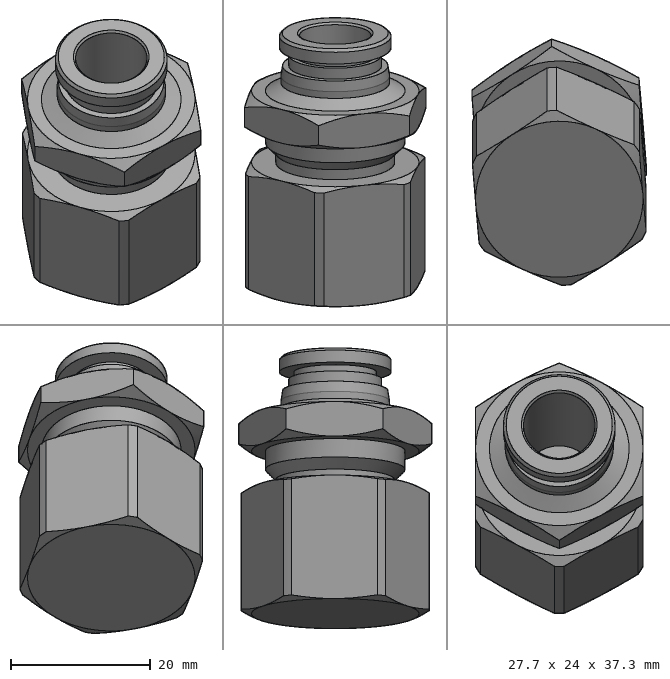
import cadquery as cq
import math

total_height = 37.3
body_top = 17.98
neck_top = 19.47
thread_start = 20.95
nut_bottom = 23.65
nut_top = 28.7
shoulder_top = 29.9
sleeve_taper_start = 30.92
sleeve_top = 32.45
collar_top = 34.1
flange_bottom = 35.15

neck_diameter = 17.05
thread_diameter = 20.0
sleeve_diameter = 15.55
sleeve_top_diameter = 15.1
collar_diameter = 13.3
release_neck_diameter = 11.82
flange_diameter = 16.0
flange_chamfer = 0.4

across_flats = 24.0
across_corners = across_flats / math.cos(math.radians(30))
body_corner_diameter = 26.93
body_chamfer_angle = 20.0
nut_chamfer_angle = 30.0

bore_diameter = 10.22
bore_depth = total_height - body_top
bore_chamfer = 0.3


def revolve_profile(points):
    """Revolve a closed (radius, height) outline around the Z axis."""
    return cq.Workplane("XZ").polyline(points).close().revolve(360, (0, 0, 0), (0, 1, 0))


def chamfered_hexagon(bottom, top, corner_diameter, chamfer_angle):
    """Hexagon trimmed by a turned blank whose end cones start at the flats."""
    height = top - bottom
    flat_radius = across_flats / 2
    corner_radius = corner_diameter / 2
    drop = (corner_radius - flat_radius) * math.tan(math.radians(chamfer_angle))
    blank = revolve_profile([
        (0, bottom),
        (flat_radius, bottom),
        (corner_radius, bottom + drop),
        (corner_radius, top - drop),
        (flat_radius, top),
        (0, top),
    ])
    hexagon = cq.Workplane("XY", origin=(0, 0, bottom)).polygon(6, across_corners).extrude(height)
    return hexagon.intersect(blank)


def turned_core():
    """Stepped stem from the hexagonal body up to the release flange."""
    flange_radius = flange_diameter / 2
    return revolve_profile([
        (0, 0),
        (neck_diameter / 2, 0),
        (neck_diameter / 2, neck_top),
        (thread_diameter / 2, thread_start),
        (thread_diameter / 2, nut_top),
        (sleeve_diameter / 2, shoulder_top),
        (sleeve_diameter / 2, sleeve_taper_start),
        (sleeve_top_diameter / 2, sleeve_top),
        (collar_diameter / 2, sleeve_top),
        (collar_diameter / 2, collar_top),
        (release_neck_diameter / 2, collar_top),
        (release_neck_diameter / 2, flange_bottom),
        (flange_radius, flange_bottom),
        (flange_radius, total_height - flange_chamfer),
        (flange_radius - flange_chamfer, total_height),
        (0, total_height),
    ])


def tube_bore():
    """Blind tube socket with a chamfered mouth."""
    bore_radius = bore_diameter / 2
    floor = total_height - bore_depth
    return revolve_profile([
        (0, floor),
        (bore_radius, floor),
        (bore_radius, total_height - bore_chamfer),
        (bore_radius + bore_chamfer, total_height),
        (0, total_height),
    ])


body = chamfered_hexagon(0, body_top, body_corner_diameter, body_chamfer_angle)
nut = chamfered_hexagon(nut_bottom, nut_top, across_corners, nut_chamfer_angle)
result = turned_core().union(body).union(nut).cut(tube_bore())